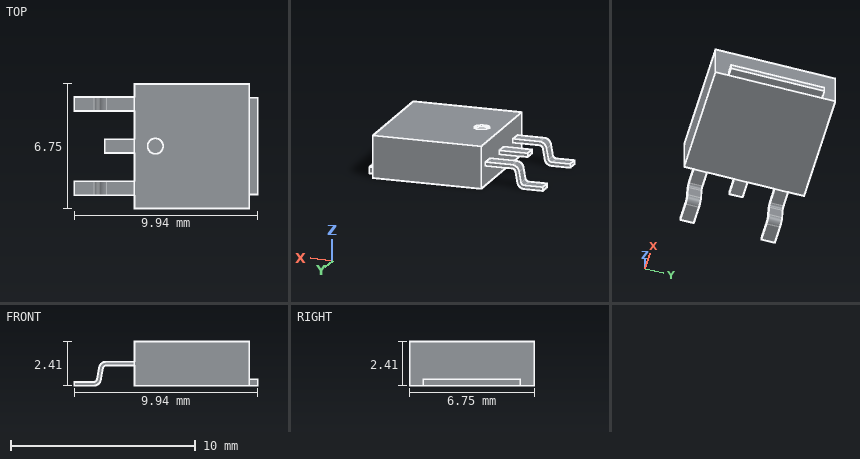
import cadquery as cq
import math

housing_length = 6.21
housing_width = 6.75
housing_height = 2.41
housing_front_x = -housing_length / 2
housing_rear_x = housing_length / 2

dimple_diameter = 0.84
dimple_depth = 0.1
dimple_setback = 1.13

overall_length = 9.94
outer_lead_reach = 3.27
tab_length = overall_length - housing_length - outer_lead_reach
tab_width = 5.25
tab_thickness = 0.36

lead_width = 0.76
lead_thickness = 0.22
lead_pitch = 2.28
lead_top_z = 1.32
lead_mid_z = lead_top_z - lead_thickness / 2
centre_lead_reach = 1.62

shoulder_length = 1.52
bend_inner_radius = 0.19
bend_angle = math.radians(80)
bend_radius = bend_inner_radius + lead_thickness / 2
bend_run = bend_radius * math.sin(bend_angle)
bend_drop = bend_radius * (1 - math.cos(bend_angle))
foot_mid_z = lead_thickness / 2
leg_drop = lead_mid_z - foot_mid_z - 2 * bend_drop
leg_run = leg_drop / math.tan(bend_angle)


def make_housing():
    """Plain block with a shallow round dimple behind the centre lead."""
    block = cq.Workplane("XY").box(
        housing_length, housing_width, housing_height, centered=(True, True, False)
    )
    dimple = (
        cq.Workplane("XY", origin=(housing_front_x + dimple_setback, 0, housing_height - dimple_depth))
        .circle(dimple_diameter / 2)
        .extrude(dimple_depth)
    )
    return block.cut(dimple)


def make_tab():
    """Flat plate against the rear face, flush with the housing's underside."""
    return cq.Workplane("XY", origin=(housing_rear_x, 0, 0)).box(
        tab_length, tab_width, tab_thickness, centered=(False, True, False)
    )


def lead_section(y):
    """Lead cross-section on the front face of the housing, facing -X."""
    return cq.Workplane(
        cq.Plane(origin=(housing_front_x, y, lead_mid_z), xDir=(0, 1, 0), normal=(-1, 0, 0))
    ).rect(lead_width, lead_thickness)


def make_centre_lead():
    """Short straight stub."""
    return lead_section(0).extrude(centre_lead_reach)


def make_outer_lead(y):
    """Gull-wing lead swept along its mid-line: shoulder, bend, leg, bend, foot."""
    shoulder_end = (housing_front_x - shoulder_length, lead_mid_z)
    leg_top = (shoulder_end[0] - bend_run, lead_mid_z - bend_drop)
    leg_bottom = (leg_top[0] - leg_run, leg_top[1] - leg_drop)
    foot_start = (leg_bottom[0] - bend_run, foot_mid_z)
    foot_tip = (housing_front_x - outer_lead_reach, foot_mid_z)
    mid_line = (
        cq.Workplane("XZ", origin=(0, y, 0))
        .moveTo(housing_front_x, lead_mid_z)
        .lineTo(*shoulder_end)
        .tangentArcPoint(leg_top, relative=False)
        .lineTo(*leg_bottom)
        .tangentArcPoint(foot_start, relative=False)
        .lineTo(*foot_tip)
    )
    return lead_section(y).sweep(mid_line)


housing = make_housing()
tab = make_tab()
centre_lead = make_centre_lead()
outer_leads = [make_outer_lead(side * lead_pitch) for side in (-1, 1)]

result = cq.Compound.makeCompound(
    [housing.val(), tab.val(), centre_lead.val(), *[lead.val() for lead in outer_leads]]
)